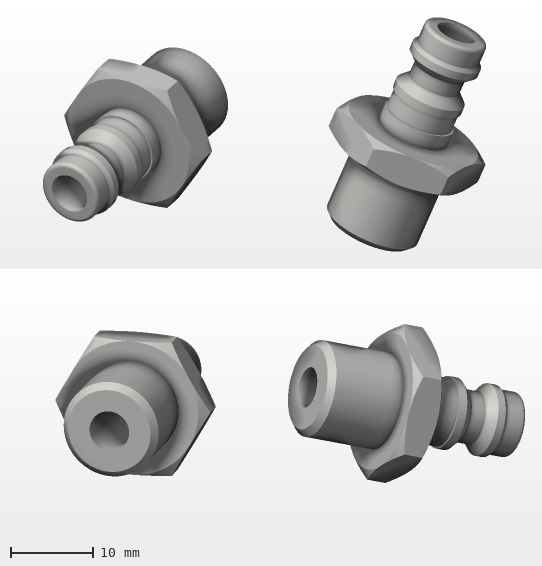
import cadquery as cq
import math

plug_length = 14.0
hex_thickness = 4.0
thread_length = 10.0

hex_across_flats = 17.0
hex_corner_angle = 30.0

thread_diameter = 12.0
thread_chamfer_length = 0.8
thread_chamfer_depth = 0.8

tip_diameter = 8.1
collar_diameter = 9.0
neck_diameter = 6.6
seat_diameter = 8.5
bore_diameter = 5.0
tip_fillet = 0.5

collar_bevel_start = 2.6
collar_start = 3.1
collar_end = 4.1
neck_start = 5.25
neck_end = 7.15
shoulder_start = 8.4
shoulder_end = 9.5
seat_end = 12.0

tip_y = -plug_length
thread_end_y = hex_thickness + thread_length


def turned(profile):
    """Revolve a closed (radius, y) profile about the Y axis."""
    return cq.Workplane("XY").polyline(profile).close().revolve(360, (0, 0, 0), (0, 1, 0))


def make_plug():
    tip_r = tip_diameter / 2
    collar_r = collar_diameter / 2
    neck_r = neck_diameter / 2
    seat_r = seat_diameter / 2
    steps = [
        (0, 0),
        (tip_r, 0),
        (tip_r, collar_bevel_start),
        (collar_r, collar_start),
        (collar_r, collar_end),
        (neck_r, neck_start),
        (neck_r, neck_end),
        (collar_r, shoulder_start),
        (collar_r, shoulder_end),
        (seat_r, shoulder_end),
        (seat_r, seat_end),
        (collar_r, seat_end),
        (collar_r, plug_length),
        (0, plug_length),
    ]
    plug = turned([(radius, tip_y + distance) for radius, distance in steps])
    return plug.faces("<Y").edges().fillet(tip_fillet)


def make_hexagon():
    """Hexagon with corners on the X axis, both faces chamfered at the corners by cones."""
    corner_r = hex_across_flats / math.sqrt(3)
    flat_r = hex_across_flats / 2
    cone_height = (corner_r - flat_r) * math.tan(math.radians(hex_corner_angle))
    prism = (
        cq.Workplane("XZ")
        .polygon(6, 2 * corner_r)
        .extrude(-hex_thickness)
    )
    envelope = turned([
        (0, 0),
        (flat_r, 0),
        (corner_r, cone_height),
        (corner_r, hex_thickness - cone_height),
        (flat_r, hex_thickness),
        (0, hex_thickness),
    ])
    return prism.intersect(envelope)


def make_threaded_end():
    thread_r = thread_diameter / 2
    return turned([
        (0, hex_thickness),
        (thread_r, hex_thickness),
        (thread_r, thread_end_y - thread_chamfer_length),
        (thread_r - thread_chamfer_depth, thread_end_y),
        (0, thread_end_y),
    ])


def make_bore():
    return (
        cq.Workplane("XZ", origin=(0, tip_y, 0))
        .circle(bore_diameter / 2)
        .extrude(-(thread_end_y - tip_y))
    )


result = make_plug().union(make_hexagon()).union(make_threaded_end()).cut(make_bore())